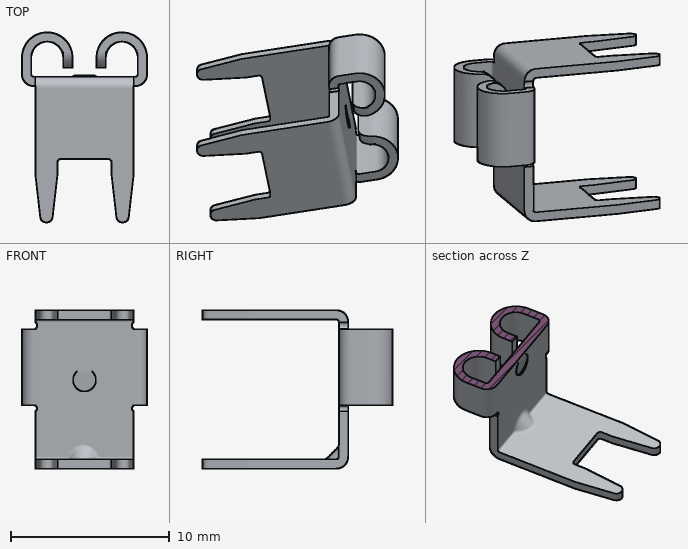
import cadquery as cq
import math


thickness = 0.6
inner_bend = 0.15
outer_bend = inner_bend + thickness
plate_width = 6.2
height = 10.0
arm_length = 8.6

slot_width = 3.4
slot_depth = 4.0
slot_corner = 0.2
taper_length = 3.0
tip_radius = 0.4
knee_radius = 0.75

overall_width = 7.9
hook_bottom = 4.0
hook_top = 8.8
hook_outer = 1.6
hook_inner = hook_outer - thickness
hook_center_x = overall_width / 2 - hook_outer
hook_center_y = 1.8
tail_length = 0.65
tail_corner = 1.0
relief_radius = 0.2

dimple_radius = 0.72
dimple_z = 5.59
dimple_hinge_z = 6.13
dimple_slope = 0.08

gusset_x = -0.1
gusset_leg = 0.8
gusset_radius = 1.0
gusset_fillet = 0.3


def make_bracket():
    """U-shaped channel across the full plate width.

    The inner corner of the lower bend stays sharp until the gusset is in place.
    """
    outer = (
        cq.Workplane("XY")
        .box(plate_width, arm_length + thickness, height, centered=(True, False, False))
        .translate((0, -arm_length, 0))
        .edges("|X and >Y")
        .fillet(outer_bend)
    )
    cavity = (
        cq.Workplane("XY")
        .box(plate_width, arm_length, height - 2 * thickness, centered=(True, False, False))
        .translate((0, -arm_length, thickness))
        .edges("|X and >Y and >Z")
        .fillet(inner_bend)
    )
    return outer.cut(cavity)


def make_arm_outline():
    """Plan outline of the forked arms, extruded over the full height."""
    half_width = plate_width / 2
    prong_half = (plate_width - slot_width) / 4
    prong_x = half_width - prong_half
    tip_y = -arm_length
    knee_y = tip_y + taper_length
    slot_y = tip_y + slot_depth

    taper_run = taper_length - tip_radius
    diagonal_angle = math.atan2(taper_run, prong_half)
    diagonal_length = math.hypot(prong_half, taper_run)
    taper_angle = math.acos(tip_radius / diagonal_length) - diagonal_angle
    tangent_x = tip_radius * math.cos(taper_angle)
    tangent_y = tip_y + tip_radius * (1 - math.sin(taper_angle))

    outline = (
        cq.Workplane("XY")
        .moveTo(-half_width, thickness)
        .lineTo(-half_width, knee_y)
        .lineTo(-prong_x - tangent_x, tangent_y)
        .threePointArc((-prong_x, tip_y), (-prong_x + tangent_x, tangent_y))
        .lineTo(-prong_x + prong_half, knee_y)
        .lineTo(-prong_x + prong_half, slot_y)
        .lineTo(prong_x - prong_half, slot_y)
        .lineTo(prong_x - prong_half, knee_y)
        .lineTo(prong_x - tangent_x, tangent_y)
        .threePointArc((prong_x, tip_y), (prong_x + tangent_x, tangent_y))
        .lineTo(half_width, knee_y)
        .lineTo(half_width, thickness)
        .close()
        .extrude(height)
    )
    knees = outline.edges("|Z").edges(corners_near(knee_y))
    outline = knees.fillet(knee_radius)
    slot_corners = outline.edges("|Z").edges(corners_near(slot_y))
    return slot_corners.fillet(slot_corner)


def corners_near(y):
    """Selector for the vertical edges of the arm outline close to a given Y."""
    return cq.selectors.BoxSelector(
        (-plate_width, y - tip_radius, 0), (plate_width, y + tip_radius, height)
    )


def make_hook():
    """Hook on the +X side: root bend, straight wall, half-round roll and tail."""
    outer_x = overall_width / 2
    inner_x = outer_x - thickness
    root_x = outer_x - outer_bend
    root_y = outer_bend
    tail_outer_x = hook_center_x - hook_outer
    tail_inner_x = hook_center_x - hook_inner
    tail_y = hook_center_y - tail_length
    overlap_x = root_x - 2 * relief_radius
    diagonal = math.sqrt(0.5)

    hook = (
        cq.Workplane("XY", origin=(0, 0, hook_bottom))
        .moveTo(overlap_x, 0)
        .lineTo(root_x, 0)
        .threePointArc(
            (root_x + outer_bend * diagonal, root_y - outer_bend * diagonal), (outer_x, root_y)
        )
        .lineTo(outer_x, hook_center_y)
        .threePointArc(
            (hook_center_x, hook_center_y + hook_outer), (tail_outer_x, hook_center_y)
        )
        .lineTo(tail_outer_x, tail_y)
        .lineTo(tail_inner_x, tail_y)
        .lineTo(tail_inner_x, hook_center_y)
        .threePointArc((hook_center_x, hook_center_y + hook_inner), (inner_x, hook_center_y))
        .lineTo(inner_x, root_y)
        .threePointArc(
            (root_x + inner_bend * diagonal, root_y - inner_bend * diagonal),
            (root_x, thickness),
        )
        .lineTo(overlap_x, thickness)
        .close()
        .extrude(hook_top - hook_bottom)
    )
    return hook.cut(make_tail_corners(tail_outer_x, tail_y))


def make_tail_corners(tail_x, tail_y):
    """Waste that rounds the upper and lower corners of the hook tail."""
    hook_height = hook_top - hook_bottom
    mid_z = (hook_top + hook_bottom) / 2
    blank = cq.Workplane("XY").box(
        thickness, tail_corner, hook_height, centered=(False, False, True)
    )
    rounded = (
        cq.Workplane("XY")
        .box(thickness, 2 * hook_outer, hook_height, centered=(False, False, True))
        .edges("|X and <Y")
        .fillet(tail_corner)
    )
    return blank.cut(rounded).translate((tail_x, tail_y, mid_z))


def make_reliefs():
    """Bend reliefs of the +X hook: round below it, a short slot up to the bend above it."""
    relief_x = overall_width / 2 - outer_bend
    upper_height = height - outer_bend - hook_top
    upper_z = hook_top + upper_height / 2
    lower = (
        cq.Workplane("XZ")
        .center(relief_x, hook_bottom - relief_radius)
        .circle(relief_radius)
        .extrude(-thickness)
    )
    upper = (
        cq.Workplane("XZ")
        .center(relief_x, upper_z)
        .slot2D(upper_height, 2 * relief_radius, 90)
        .extrude(-thickness)
    )
    return lower.union(upper)


def make_dimple_wedge(face_y):
    """Wedge behind face_y, zero at the hinge line and deepest at the bottom of the disc."""
    bottom_z = dimple_z - dimple_radius
    depth = dimple_slope * (dimple_hinge_z - bottom_z)
    disc = (
        cq.Workplane("XZ", origin=(0, face_y, dimple_z))
        .circle(dimple_radius)
        .extrude(-depth)
    )
    wedge = (
        cq.Workplane("YZ")
        .moveTo(face_y, dimple_hinge_z)
        .lineTo(face_y + depth, bottom_z)
        .lineTo(face_y, bottom_z)
        .close()
        .extrude(dimple_radius, both=True)
    )
    return disc.intersect(wedge)


def add_gusset(body):
    """45-degree half-round gusset in the lower bend, blended into web and arm.

    Rounding the inner corner of the lower bend on both sides of it completes the bend.
    """
    floor_z = thickness
    size = 2 * gusset_leg
    overlap = thickness / 2

    axis_drop = gusset_radius * math.sqrt(2)
    axis_plane = cq.Plane(
        origin=(gusset_x, 0, floor_z + gusset_leg - axis_drop),
        xDir=(1, 0, 0),
        normal=(0, -1, -1),
    )
    cylinder = cq.Workplane(axis_plane).circle(gusset_radius).extrude(2 * size, both=True)
    corner = cq.Workplane("XY").box(
        2 * size, size + overlap, size + overlap, centered=(True, False, False)
    ).translate((gusset_x, -size, floor_z - overlap))
    blended = body.union(cylinder.intersect(corner))
    reach = cq.selectors.BoxSelector(
        (gusset_x - size, -size, floor_z - overlap), (gusset_x + size, overlap, floor_z + size)
    )
    rim = blended.faces(reach).faces("%CYLINDER").edges()
    blended = rim.fillet(gusset_fillet)
    inner_corner = cq.selectors.BoxSelector(
        (-plate_width, -inner_bend / 2, floor_z - inner_bend / 2),
        (plate_width, inner_bend / 2, floor_z + inner_bend / 2),
    )
    return blended.edges("|X").edges(inner_corner).fillet(inner_bend)


bracket = make_bracket().intersect(make_arm_outline())
bracket = add_gusset(bracket)
bracket = bracket.union(make_dimple_wedge(thickness)).cut(make_dimple_wedge(0))
hook = make_hook()
reliefs = make_reliefs()
hooks = hook.union(hook.mirror("YZ"))
all_reliefs = reliefs.union(reliefs.mirror("YZ"))
result = bracket.union(hooks).cut(all_reliefs)